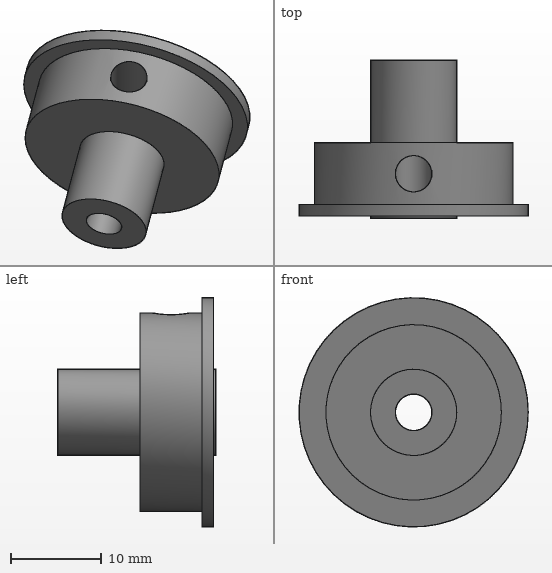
import cadquery as cq

flange_diameter = 25.4
body_diameter = 22.01
hub_diameter = 9.55
recess_diameter = 19.42
bore_diameter = 4.0
screw_hole_diameter = 4.0

flange_thickness = 1.3
body_length = 6.85
hub_length = 9.12
boss_protrusion = 0.25
recess_depth = 1.5
screw_hole_position = 4.7

body_end = flange_thickness + body_length
hub_end = body_end + hub_length


def cylinder(diameter, start, end):
    """Cylinder about the Y axis between two Y positions."""
    axis_plane = cq.Plane(origin=(0, start, 0), xDir=(1, 0, 0), normal=(0, 1, 0))
    return cq.Workplane(axis_plane).circle(diameter / 2).extrude(end - start)


flange = cylinder(flange_diameter, 0, flange_thickness)
body = cylinder(body_diameter, 0, body_end)
recess = cylinder(recess_diameter, 0, recess_depth)
wheel = flange.union(body).cut(recess)

hub = cylinder(hub_diameter, -boss_protrusion, hub_end)
bore = cylinder(bore_diameter, -boss_protrusion, hub_end)

screw_hole = (
    cq.Workplane("XY")
    .center(0, screw_hole_position)
    .circle(screw_hole_diameter / 2)
    .extrude(body_diameter / 2)
)

result = wheel.union(hub).cut(bore).cut(screw_hole)